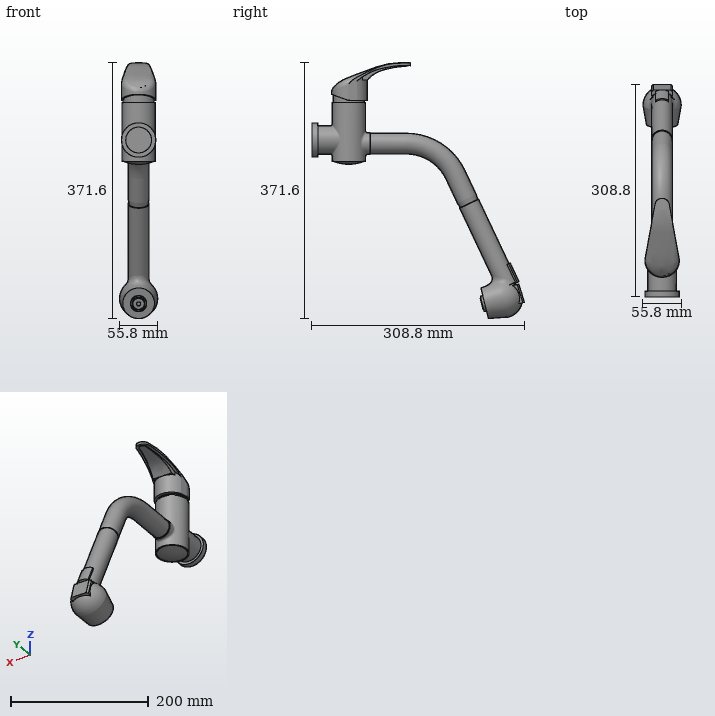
import cadquery as cq
import math


barrel_radius = 24.4
barrel_top = 54.3
barrel_bottom = -31.0
cap_radius = 22.5
cap_depth = 4.5
collar_radius = 22.7
inlet_radius = 20.9
flange_radius = 25.0
flange_thickness = 8.7
wall_y = -53.8
inlet_fillet = 2.0
flange_disc_radius = 18.7
flange_disc_depth = 0.2

spout_radius = 15.2
spout_z = -5.2
stub_end_y = 30.8
stub_radius = 15.8
stub_fillet = 3.0
joint_groove_width = 1.0
joint_groove_depth = 0.4
bend_start_y = 83.4
bend_radius = 79.0
bend_angle = 64.7
straight_length = 38.9
end_ring_length = 7.2
end_ring_radius = 14.2

lever_tip_y = 89.6
lever_tip_half_width = 10.2
lever_tip_round = 8.0
hood_radius = 25.2
hood_rim_front_z = 57.3
hood_rim_back_z = 66.4
skirt_radius = 25.2
skirt_center_y = 1.7
hood_round = 9.0
crown_half_span = 30.0
crown_base_z = barrel_top - 5.0
crown_stations = [
    (105.0, 110.5, 3.0),
    (89.0, 112.2, 3.0),
    (72.0, 112.2, 4.0),
    (33.0, 103.6, 4.0),
    (13.4, 96.3, 4.0),
    (-9.0, 87.3, 5.0),
    (-19.5, 79.5, 6.0),
    (-30.0, 67.0, 6.0),
]
crown_top = max(top for _, top, _ in crown_stations)
blade_edge = [(lever_tip_y, 107.8), (79.9, 108.3), (53.6, 105.2), (31.8, 98.6), (14.3, 87.7), (3.3, 79.0)]
keel_line = [(lever_tip_y, 107.5), (75.5, 106.6), (53.6, 102.6), (40.5, 97.8), (27.0, 87.0)]
keel_inset = 4.0

wand_radius = 15.3
wand_length = 132.0
wand_chamfer = 0.5
head_radius = 55.77 / 2
head_face_radius = 23.0
head_length = 28.2
head_tilt = 13.7
head_center_along_wand = 146.4
head_center_offset = 13.89
neck_fillet = 10.0
nozzle_radius = 11.7
nozzle_inner_radius = 8.5
nozzle_height = 3.5
nozzle_core_height = 4.5
jet_hole_radius = 3.0
jet_hole_depth = 2.0
rim_groove_depth = 2.0
button_width = 30.4
button_corner = 2.5
button_top = 15.4
button_bottom = 12.3
button_outer_top = 26.8
button_outer_bottom = 28.4
button_inner = 12.0
tongue_width = 19.0
tongue_rise = 2.0
tongue_start = 103.5
tongue_length = 30.0

bend_rad = math.radians(bend_angle)
bend_end_y = bend_start_y + bend_radius * math.sin(bend_rad)
bend_end_z = spout_z - bend_radius * (1 - math.cos(bend_rad))
wand_dir = cq.Vector(0, math.cos(bend_rad), -math.sin(bend_rad))
bend_end = cq.Vector(0, bend_end_y, bend_end_z)
ring_start = bend_end + wand_dir * straight_length
wand_start = ring_start + wand_dir * end_ring_length

tilt_rad = math.radians(head_tilt)
spray_dir = cq.Vector(0, -math.cos(tilt_rad), -math.sin(tilt_rad))
wand_side_dir = cq.Vector(0, -math.sin(bend_rad), -math.cos(bend_rad))
head_center = wand_start + wand_dir * head_center_along_wand + wand_side_dir * head_center_offset


def cylinder(start, direction, radius, length):
    return cq.Workplane(cq.Solid.makeCylinder(radius, length, start, direction))


def make_barrel():
    barrel = cylinder(
        cq.Vector(0, 0, barrel_bottom), cq.Vector(0, 0, 1), barrel_radius, barrel_top - barrel_bottom
    )
    inlet = cylinder(cq.Vector(0, wall_y, 0), cq.Vector(0, 1, 0), inlet_radius, -wall_y)
    barrel = barrel.union(inlet)
    inlet_joint = cq.selectors.BoxSelector(
        (-barrel_radius, -barrel_radius - 1, -barrel_radius), (barrel_radius, -1, barrel_radius)
    )
    barrel = barrel.edges(inlet_joint).edges("not %CIRCLE").edges("not %LINE").fillet(inlet_fillet)

    flange = cylinder(cq.Vector(0, wall_y, 0), cq.Vector(0, 1, 0), flange_radius, flange_thickness)
    disc = cylinder(cq.Vector(0, wall_y, 0), cq.Vector(0, 1, 0), flange_disc_radius, flange_disc_depth)
    cap = (
        cq.Workplane("XZ")
        .moveTo(0, barrel_bottom)
        .lineTo(cap_radius, barrel_bottom)
        .radiusArc((0, barrel_bottom - cap_depth), (cap_radius**2 + cap_depth**2) / (2 * cap_depth))
        .close()
        .revolve(360, (0, 0), (0, 1))
    )
    return barrel.union(flange).cut(disc).union(cap)


def add_spout(barrel):
    stub = cylinder(cq.Vector(0, 0, spout_z), cq.Vector(0, 1, 0), stub_radius, stub_end_y)
    joined = barrel.union(stub)
    stub_joint = cq.selectors.BoxSelector(
        (-stub_radius - 1, 1, spout_z - stub_radius - 1),
        (stub_radius + 1, stub_end_y - 1, spout_z + stub_radius + 1),
    )
    joined = joined.edges(stub_joint).edges("not %CIRCLE").edges("not %LINE").fillet(stub_fillet)

    path = (
        cq.Workplane("YZ")
        .moveTo(stub_end_y, spout_z)
        .lineTo(bend_start_y, spout_z)
        .radiusArc((bend_end_y, bend_end_z), bend_radius)
        .lineTo(ring_start.y, ring_start.z)
    )
    pipe = (
        cq.Workplane("XZ", origin=(0, stub_end_y, 0))
        .center(0, spout_z)
        .circle(spout_radius)
        .sweep(path)
    )
    groove = (
        cq.Workplane("XZ", origin=(0, stub_end_y + joint_groove_width, 0))
        .center(0, spout_z)
        .circle(stub_radius)
        .circle(spout_radius - joint_groove_depth)
        .extrude(joint_groove_width)
    )
    end_ring = cq.Workplane(
        cq.Solid.makeCone(spout_radius, end_ring_radius, end_ring_length, ring_start, wand_dir)
    )
    return joined.union(pipe).cut(groove).union(end_ring)


def lever_plan(tip_half_width, base_half_width, tip_y):
    """Upright prism over the lever's plan: a round tip, straight sides and a half-round back."""
    shoulder_y = tip_y - lever_tip_round
    return (
        cq.Workplane("XY", origin=(0, 0, crown_base_z))
        .moveTo(-base_half_width, 0)
        .lineTo(-tip_half_width, shoulder_y)
        .threePointArc((0, tip_y), (tip_half_width, shoulder_y))
        .lineTo(base_half_width, 0)
        .threePointArc((0, -base_half_width), (-base_half_width, 0))
        .close()
        .extrude(crown_top)
    )


def side_prism(line, corners):
    """Prism across the lever whose lower side follows a smooth line and then straight corners."""
    return (
        cq.Workplane("YZ")
        .moveTo(*line[0])
        .spline(line[1:], includeCurrent=True)
        .polyline(corners, includeCurrent=True)
        .close()
        .extrude(crown_half_span, both=True)
    )


def make_crown():
    """Space under the lever's crowned upper surface, rounded over toward the hood's wall."""
    sections = []
    for y, top, fall in crown_stations:
        section = (
            cq.Workplane("XZ", origin=(0, y, 0))
            .moveTo(-crown_half_span, crown_base_z)
            .lineTo(-crown_half_span, top - fall)
            .threePointArc((0, top), (crown_half_span, top - fall))
            .lineTo(crown_half_span, crown_base_z)
            .close()
        )
        sections.append(section.val())
    crown = cq.Workplane(cq.Solid.makeLoft(sections))
    crown = crown.intersect(lever_plan(hood_radius, hood_radius, crown_stations[0][0]))
    return crown.edges("%BSPLINE").fillet(hood_round)


def make_handle():
    crown = make_crown()
    plan = lever_plan(lever_tip_half_width, hood_radius, lever_tip_y)
    hood_corners = [
        (0, hood_rim_front_z),
        (-hood_radius, hood_rim_back_z),
        (-hood_radius, crown_top),
        (lever_tip_y, crown_top),
    ]
    hood = side_prism(blade_edge, hood_corners).intersect(plan).intersect(crown)

    keel_plan = lever_plan(lever_tip_half_width - keel_inset, hood_radius - keel_inset, lever_tip_y - keel_inset)
    keel_corners = [(0, keel_line[-1][1]), (0, crown_top), (lever_tip_y, crown_top)]
    keel = side_prism(keel_line, keel_corners).intersect(keel_plan).intersect(crown)

    skirt = cylinder(
        cq.Vector(0, skirt_center_y, hood_rim_front_z), cq.Vector(0, 0, 1), skirt_radius, crown_top
    )
    front_half = cq.Workplane("XY", origin=(0, 0, barrel_top)).box(
        2 * crown_half_span, 2 * crown_half_span, crown_top, centered=(True, False, False)
    )
    skirt = skirt.intersect(front_half).intersect(plan).intersect(crown)
    collar = cylinder(cq.Vector(0, 0, barrel_top), cq.Vector(0, 0, 1), collar_radius, crown_top)
    return hood.union(keel).union(skirt).union(collar.intersect(crown))


def make_head():
    """Ball with a cone that narrows to the spray face, revolved about the spray axis."""
    plane = cq.Plane(origin=head_center, xDir=(1, 0, 0), normal=spray_dir.cross(cq.Vector(1, 0, 0)) * -1)
    return (
        cq.Workplane(plane)
        .moveTo(0, -head_radius)
        .threePointArc((head_radius * math.sqrt(0.5), -head_radius * math.sqrt(0.5)), (head_radius, 0))
        .lineTo(head_face_radius, head_length)
        .lineTo(0, head_length)
        .close()
        .revolve(360, (0, 0), (0, 1))
    )


def make_nozzle():
    face_center = head_center + spray_dir * head_length
    ring = cylinder(face_center, spray_dir, nozzle_radius, nozzle_height)
    groove = cylinder(
        face_center + spray_dir * (nozzle_height - rim_groove_depth),
        spray_dir,
        nozzle_inner_radius + 1,
        rim_groove_depth,
    )
    core = cylinder(face_center, spray_dir, nozzle_inner_radius, nozzle_core_height)
    hole = cylinder(
        face_center + spray_dir * (nozzle_core_height - jet_hole_depth),
        spray_dir,
        jet_hole_radius,
        jet_hole_depth,
    )
    return ring.cut(groove).union(core).cut(hole)


def make_button():
    """Thumb button on the back of the head, its face leaning slightly to the spray axis."""
    plane = cq.Plane(origin=head_center, xDir=spray_dir * -1, normal=(1, 0, 0))
    up = 1 if plane.yDir.z > 0 else -1
    return (
        cq.Workplane(plane)
        .moveTo(button_inner, up * button_top)
        .lineTo(button_outer_top, up * button_top)
        .lineTo(button_outer_bottom, -up * button_bottom)
        .lineTo(button_inner, -up * button_bottom)
        .close()
        .extrude(button_width / 2, both=True)
        .faces("<X or >X")
        .edges(cq.selectors.DirectionMinMaxSelector(spray_dir, False))
        .chamfer(button_corner)
    )


def make_tongue():
    """Slim rib that runs from the button up along the wand, concentric with it."""
    start = wand_start + wand_dir * tongue_start
    plane = cq.Plane(origin=start, xDir=(1, 0, 0), normal=wand_dir)
    away = -1 if plane.yDir.dot(wand_side_dir) > 0 else 1
    outer_radius = wand_radius + tongue_rise
    strip = (
        cq.Workplane(plane)
        .center(0, away * outer_radius / 2)
        .rect(tongue_width, outer_radius)
        .extrude(tongue_length)
    )
    return strip.intersect(cylinder(start, wand_dir, outer_radius, tongue_length))


def make_wand():
    tube = cylinder(wand_start, wand_dir, wand_radius, wand_length)
    wand = tube.union(make_head())
    wand = wand.edges("%BSPLINE").fillet(neck_fillet)
    wand = wand.faces(cq.selectors.DirectionMinMaxSelector(wand_dir, False)).chamfer(wand_chamfer)
    return wand.union(make_nozzle()).union(make_button()).union(make_tongue())


faucet = add_spout(make_barrel()).union(make_handle())
spray_wand = make_wand()
result = cq.Compound.makeCompound([faucet.val(), spray_wand.val()])